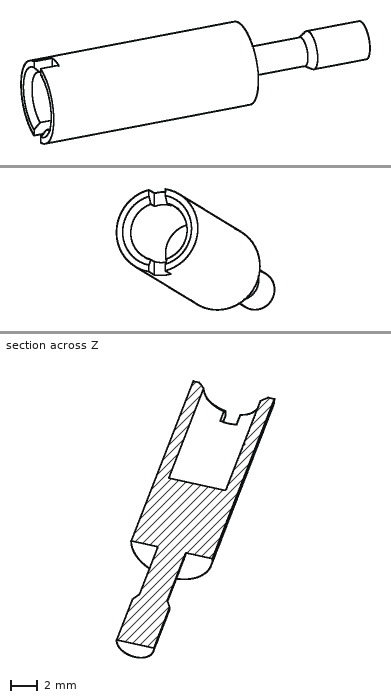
import cadquery as cq

total_length = 27.0
body_length = 17.0
body_diameter = 6.5
neck_diameter = 2.25
neck_length = 5.0
tip_diameter = 3.0
cone_length = 0.65

bore_diameter = 4.5
bore_depth = 10.0
bore_mouth_diameter = 5.5
bore_mouth_chamfer = (bore_mouth_diameter - bore_diameter) / 2

slot_width = 1.3
slot_depth = 1.5

neck_end = body_length + neck_length
cone_end = neck_end + cone_length


def revolve_profile(points):
    """Revolve a closed (radius, y) outline about the Y axis."""
    return cq.Workplane("XY").polyline(points).close().revolve(360, (0, 0, 0), (0, 1, 0))


def make_turned_blank():
    """Body, neck, conical shoulder and tip as one turned shape."""
    body_radius = body_diameter / 2
    neck_radius = neck_diameter / 2
    tip_radius = tip_diameter / 2
    return revolve_profile([
        (0, 0),
        (body_radius, 0),
        (body_radius, body_length),
        (neck_radius, body_length),
        (neck_radius, neck_end),
        (tip_radius, cone_end),
        (tip_radius, total_length),
        (0, total_length),
    ])


def make_socket():
    """Flat-bottomed blind bore with a chamfered mouth."""
    bore_radius = bore_diameter / 2
    return revolve_profile([
        (0, 0),
        (bore_mouth_diameter / 2, 0),
        (bore_radius, bore_mouth_chamfer),
        (bore_radius, bore_depth),
        (0, bore_depth),
    ])


def make_slot():
    """Slot running the full height of the body along Z."""
    return cq.Workplane("XY").box(
        slot_width, slot_depth, body_diameter, centered=(True, False, True)
    )


result = make_turned_blank().cut(make_socket()).cut(make_slot())